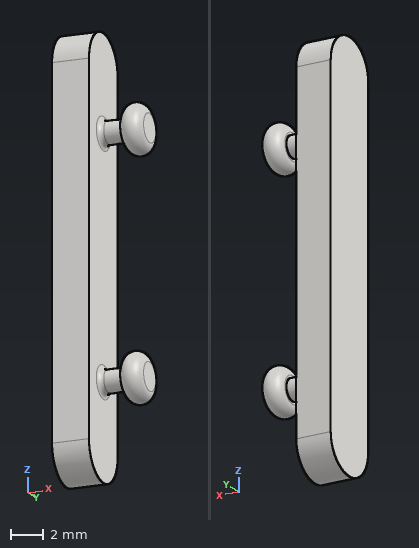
import cadquery as cq

bar_length = 29.0
bar_width = 4.5
bar_thickness = 2.5

overall_depth = 5.6
pin_spacing = 16.0
neck_diameter = 1.5
neck_fillet = 0.35
head_diameter = 3.4
head_thickness = 1.5

neck_radius = neck_diameter / 2
head_radius = head_diameter / 2
rim_radius = head_thickness / 2
head_flat_radius = head_radius - rim_radius
head_start = overall_depth - head_thickness


def make_bar():
    """Slot-shaped plate with its back face on X = 0."""
    return cq.Workplane("YZ").slot2D(bar_length, bar_width, 90).extrude(bar_thickness)


def make_pin(height):
    """Filleted neck and round-rimmed head, revolved about an X-parallel axis at Z = height."""
    profile = (
        cq.Workplane("XY")
        .moveTo(bar_thickness / 2, 0)
        .lineTo(bar_thickness / 2, neck_radius + neck_fillet)
        .lineTo(bar_thickness, neck_radius + neck_fillet)
        .radiusArc((bar_thickness + neck_fillet, neck_radius), -neck_fillet)
        .lineTo(head_start, neck_radius)
        .lineTo(head_start, head_flat_radius)
        .threePointArc(
            (head_start + rim_radius, head_radius),
            (overall_depth, head_flat_radius),
        )
        .lineTo(overall_depth, 0)
        .close()
    )
    return profile.revolve(360, (0, 0, 0), (1, 0, 0)).translate((0, 0, height))


result = make_bar()
for pin_height in (-pin_spacing / 2, pin_spacing / 2):
    result = result.union(make_pin(pin_height))